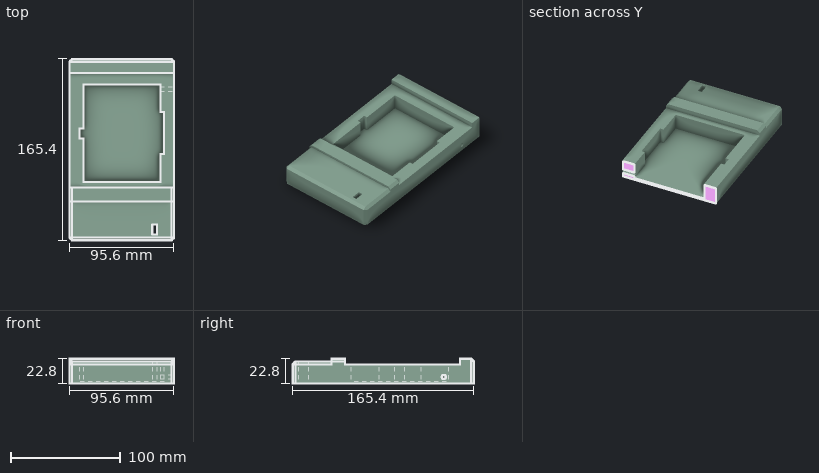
import cadquery as cq
import math

width = 95.6
length = 165.4
height = 22.8
chamfer = 2.5

ledge_z = 17.7
panel_z = height - chamfer

back_bar_front = 70.0
front_bar_back = -34.7
front_bar_front = -47.3

floor_z = 2.2
pocket_width = 70.3
pocket_back = 59.5
pocket_front = -29.3
notch_depth = 3.3
right_notch_back = 34.5
right_notch_front = -4.1
left_notch_back = 19.5
left_notch_front = 10.5

wire_hole_diameter = 3.8
wire_hole_y = 55.2
wire_hole_z = floor_z + 4.0

slot_x = 30.0
slot_y = -72.8
slot_width = 4.1
slot_length = 9.0


def block(x_min, x_max, y_min, y_max, z_min, z_max):
    """Box given by its limits on each axis."""
    size = (x_max - x_min, y_max - y_min, z_max - z_min)
    return cq.Workplane("XY").box(*size, centered=False).translate((x_min, y_min, z_min))


def make_body():
    """Side profile swept across the width, with the vertical corners cut off."""
    half = length / 2
    profile = [
        (-half, 0),
        (half, 0),
        (half, height - chamfer),
        (half - chamfer, height),
        (back_bar_front, height),
        (back_bar_front, ledge_z),
        (front_bar_back, ledge_z),
        (front_bar_back, height),
        (front_bar_front, height),
        (front_bar_front, panel_z),
        (chamfer - half, panel_z),
        (-half, ledge_z),
    ]
    swept = cq.Workplane("YZ").polyline(profile).close().extrude(width / 2, both=True)
    outline = cq.Workplane("XY").rect(width, length).extrude(height).edges("|Z").chamfer(chamfer)
    return swept.intersect(outline)


def side_bevels(y_min, y_max, top_z, bottom_z):
    """Wedges that bevel both long edges between two Y positions."""
    def wedge(side):
        edge = side * width / 2
        corner = [(edge, bottom_z), (edge, top_z), (edge - side * chamfer, top_z)]
        return cq.Workplane("XZ", origin=(0, y_max, 0)).polyline(corner).close().extrude(y_max - y_min)
    return wedge(1).union(wedge(-1))


def corner_facet(side):
    """Wedge that slopes a front corner from the panel top down to the vertical corner face."""
    apex = (side * (width / 2 - chamfer), chamfer - length / 2, 0)
    diagonal = cq.Plane(origin=apex, xDir=(side, -1, 0), normal=(-1, -side, 0))
    reach = chamfer / math.sqrt(2)
    corner = [(0, panel_z), (reach, panel_z), (reach, ledge_z)]
    return cq.Workplane(diagonal).polyline(corner).close().extrude(chamfer, both=True)


def make_pocket():
    """Open-topped pocket with one notch in each side wall."""
    half = pocket_width / 2
    reach = half + notch_depth
    main = block(-half, half, pocket_front, pocket_back, floor_z, height)
    right = block(0, reach, right_notch_front, right_notch_back, floor_z, height)
    left = block(-reach, 0, left_notch_front, left_notch_back, floor_z, height)
    return main.union(right).union(left)


def make_wire_hole():
    """Horizontal passage from the pocket out through the +X side."""
    hole = cq.Workplane("YZ").center(wire_hole_y, wire_hole_z).circle(wire_hole_diameter / 2)
    return hole.extrude(width / 2)


def make_slot():
    slot = cq.Workplane("XY").center(slot_x, slot_y).rect(slot_width, slot_length)
    return slot.extrude(height)


result = (
    make_body()
    .cut(side_bevels(front_bar_front, front_bar_back, height, panel_z))
    .cut(side_bevels(-length / 2, front_bar_front, panel_z, ledge_z))
    .cut(corner_facet(1))
    .cut(corner_facet(-1))
    .cut(make_pocket())
    .cut(make_wire_hole())
    .cut(make_slot())
)